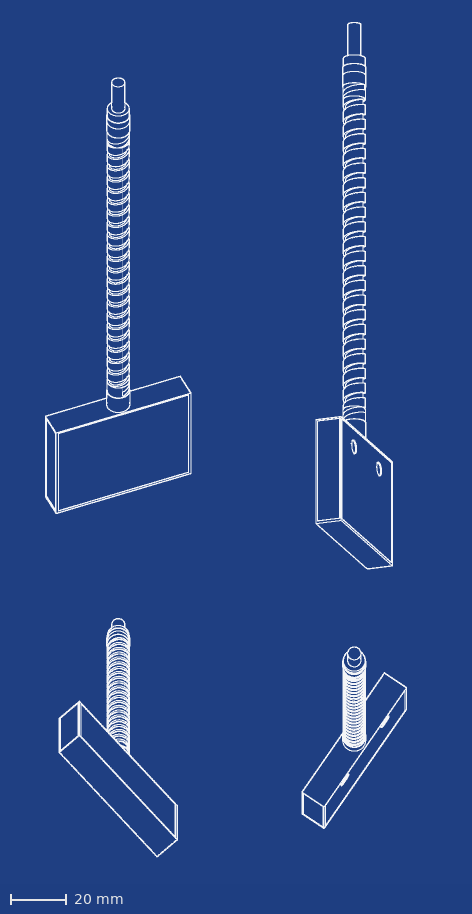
import cadquery as cq

total_height = 197.8

housing_width = 9.7
housing_length = 52.8
housing_height = 39.5
recess_diameter = 5.0
recess_spacing = 25.7
recess_drop = 7.1
recess_depth = 0.4
panel_depth = 0.1
end_panel_border = 0.5
side_panel_border = 1.0
panel_top_border = 0.5
panel_bottom_border = 1.0

cable_radius = 2.4

conduit_radius = 4.0
conduit_bottom = 46.5
conduit_top = 178.6
groove_turns = 22.5
groove_length = 125.5
groove_bottom = 48.0
groove_height = 2.0
groove_depth = 0.8
groove_pitch = groove_length / groove_turns

ferrule_radius = 4.2
grip_radius = ferrule_radius - 0.1
grip_length = 5.0
lower_shoulder = conduit_bottom
upper_shoulder = 174.3
collar_radius = 4.0
collar_bottom = 181.5
collar_top = 185.0


def cylinder(radius, bottom, top):
    return cq.Workplane("XY").workplane(offset=bottom).circle(radius).extrude(top - bottom)


def panel_cutter(size_x, size_y):
    """Block that sinks the panels on a pair of opposite side faces."""
    height = housing_height - panel_top_border - panel_bottom_border
    block = cq.Workplane("XY").box(size_x, size_y, height, centered=(True, True, False))
    return block.translate((0, 0, panel_bottom_border))


def make_housing():
    block = cq.Workplane("XY").box(
        housing_width, housing_length, housing_height, centered=(True, True, False)
    )

    for side in (-1, 1):
        broad_panel = panel_cutter(2 * panel_depth, housing_length - 2 * side_panel_border)
        block = block.cut(broad_panel.translate((side * housing_width / 2, 0, 0)))
        narrow_panel = panel_cutter(housing_width - 2 * end_panel_border, 2 * panel_depth)
        block = block.cut(narrow_panel.translate((0, side * housing_length / 2, 0)))

    panel_x = -housing_width / 2 + panel_depth
    recess_height = housing_height - recess_drop
    recesses = (
        cq.Workplane("YZ")
        .workplane(offset=panel_x)
        .pushPoints([(side * recess_spacing / 2, recess_height) for side in (-1, 1)])
        .circle(recess_diameter / 2)
        .extrude(recess_depth)
    )
    return block.cut(recesses)


def make_groove_cutter():
    """Square-section helix that starts on the +X side of the conduit."""
    path = cq.Wire.makeHelix(groove_pitch, groove_length, conduit_radius)
    profile = cq.Workplane("XZ").center(conduit_radius, 0).rect(2 * groove_depth, groove_height)
    return profile.sweep(cq.Workplane(obj=path), isFrenet=True).translate((0, 0, groove_bottom))


def make_conduit():
    body = cylinder(conduit_radius, conduit_bottom, conduit_top).cut(make_groove_cutter())
    return body.cut(cylinder(cable_radius, conduit_bottom, conduit_top))


def make_lower_ferrule():
    grip_top = lower_shoulder + grip_length
    body = cylinder(ferrule_radius, housing_height, lower_shoulder)
    body = body.union(cylinder(grip_radius, lower_shoulder, grip_top))
    body = body.cut(cylinder(conduit_radius, conduit_bottom, grip_top))
    return body.cut(cylinder(cable_radius, housing_height, grip_top))


def make_upper_ferrule():
    grip_bottom = upper_shoulder - grip_length
    body = cylinder(grip_radius, grip_bottom, upper_shoulder)
    body = body.union(cylinder(ferrule_radius, upper_shoulder, collar_bottom))
    body = body.union(cylinder(collar_radius, collar_bottom, collar_top))
    body = body.cut(cylinder(conduit_radius, grip_bottom, conduit_top))
    return body.cut(cylinder(cable_radius, grip_bottom, collar_top))


housing = make_housing()
lower_ferrule = make_lower_ferrule()
conduit = make_conduit()
upper_ferrule = make_upper_ferrule()
cable = cylinder(cable_radius, housing_height, total_height)

result = cq.Compound.makeCompound(
    [housing.val(), lower_ferrule.val(), conduit.val(), upper_ferrule.val(), cable.val()]
)